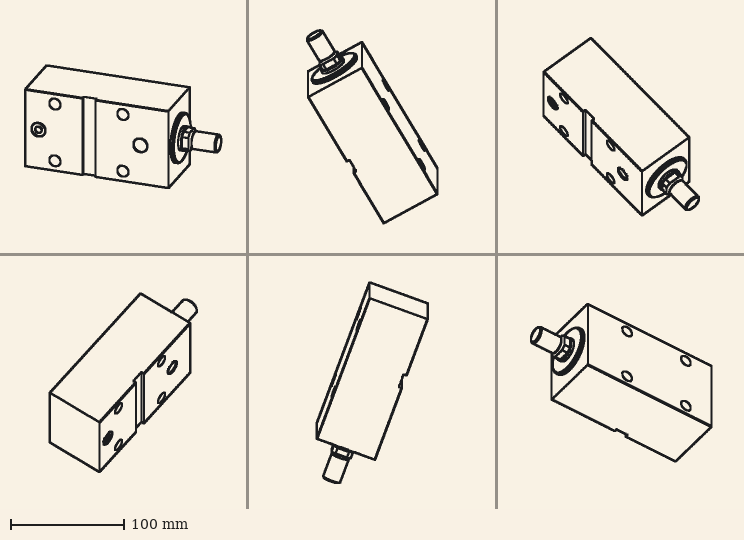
import cadquery as cq

total_length = 172.0
housing_length = 134.8
housing_width = 55.0
housing_height = 75.0
edge_chamfer = 0.5

slot_start = 54.0
slot_width = 12.0
slot_depth = 3.0

screw_hole_diameter = 10.5
screw_hole_rear_x = 28.0
screw_hole_spacing_x = 64.0
screw_hole_spacing_z = 55.0

port_diameter = 13.0
port_depth = 1.0
rear_port_x = 12.4
front_port_x = 108.4

pin_diameter = 6.0

gland_radius = 22.5
gland_length = 3.1
gland_chamfer = 1.0

collar_radius = 11.0
collar_length = 3.1
collar_chamfer = 0.5
square_width = 18.0
square_length = 5.8
neck_radius = 6.9
neck_length = 2.4
neck_fillet = 0.5
thread_radius = 8.0
thread_chamfer = 1.0

mounting_face_y = -housing_width / 2
gland_end = housing_length + gland_length
collar_end = gland_end + collar_length
square_end = collar_end + square_length
thread_start = square_end + neck_length
square_corner_radius = collar_radius - collar_chamfer


def mounting_face_cylinder(x, z, diameter, depth):
    """Cylinder that reaches from the mounting face into the housing."""
    return (
        cq.Workplane("XZ", origin=(x, mounting_face_y, z))
        .circle(diameter / 2)
        .extrude(-depth)
    )


def make_housing():
    housing = (
        cq.Workplane("YZ")
        .rect(housing_width, housing_height)
        .extrude(housing_length)
        .edges("|X")
        .chamfer(edge_chamfer)
    )

    slot = cq.Workplane("XY").box(
        slot_width, slot_depth, housing_height, centered=(False, False, True)
    )
    housing = housing.cut(slot.translate((slot_start, mounting_face_y, 0)))

    for x in (screw_hole_rear_x, screw_hole_rear_x + screw_hole_spacing_x):
        for z in (-screw_hole_spacing_z / 2, screw_hole_spacing_z / 2):
            hole = mounting_face_cylinder(x, z, screw_hole_diameter, housing_width)
            housing = housing.cut(hole)

    for x in (rear_port_x, front_port_x):
        housing = housing.cut(mounting_face_cylinder(x, 0, port_diameter, port_depth))
    return housing


def make_pin():
    """Pin on the floor of the rear port recess, flush with the mounting face."""
    return mounting_face_cylinder(rear_port_x, 0, pin_diameter, port_depth)


def make_gland():
    return (
        cq.Workplane("YZ", origin=(housing_length, 0, 0))
        .circle(gland_radius)
        .extrude(gland_length)
        .faces(">X")
        .chamfer(gland_chamfer)
    )


def make_rod():
    turned = (
        cq.Workplane("XY")
        .moveTo(gland_end, 0)
        .lineTo(gland_end, collar_radius)
        .lineTo(collar_end - collar_chamfer, collar_radius)
        .lineTo(collar_end, square_corner_radius)
        .lineTo(square_end, square_corner_radius)
        .lineTo(square_end, neck_radius + neck_fillet)
        .radiusArc((square_end + neck_fillet, neck_radius), -neck_fillet)
        .lineTo(thread_start - neck_fillet, neck_radius)
        .radiusArc((thread_start, neck_radius + neck_fillet), -neck_fillet)
        .lineTo(thread_start, thread_radius)
        .lineTo(total_length - thread_chamfer, thread_radius)
        .lineTo(total_length, thread_radius - thread_chamfer)
        .lineTo(total_length, 0)
        .close()
        .revolve(360, (0, 0, 0), (1, 0, 0))
    )

    outside_square = (
        cq.Workplane("YZ", origin=(collar_end, 0, 0))
        .circle(collar_radius)
        .rect(square_width, square_width)
        .extrude(square_length)
    )
    return turned.cut(outside_square)


housing = make_housing()
pin = make_pin()
gland = make_gland()
rod = make_rod()

result = cq.Compound.makeCompound([housing.val(), pin.val(), gland.val(), rod.val()])